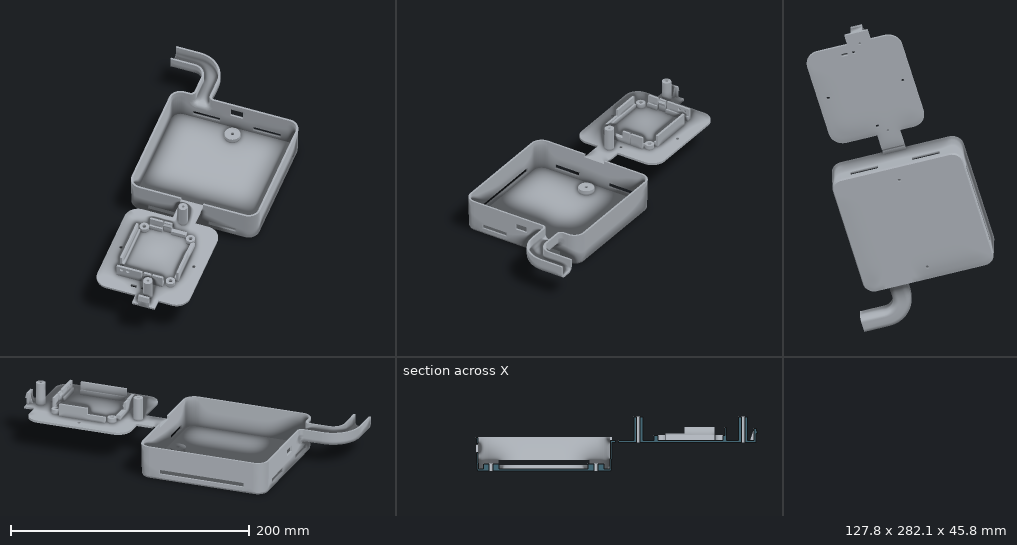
import cadquery as cq

box_size = 114.5
box_height = 28.5
box_radius = 10.2
box_lean = 0.5
wall = 1.7
floor = 2.0
foot_rise = 1.7
foot_inset = 0.8

boss_ys = (44.5, -43.5)
boss_radius = 6.8
boss_height = 4.2
screw_radius = 1.5

vent_length = 24.3
vent_height = 4.0
vent_z = 7.0
vent_spacing = 53.5
side_vent_length = 76.2
window_width = 11.3
window_bottom = 15.8
window_inner_top = 24.0
window_outer_top = 21.2

channel_width = 15.5
channel_depth = 11.9
channel_wall = 1.7
channel_round = 2.8
channel_x = -31.5
channel_end_x = -70.5
bend_radius = 17.8
bend_y = 77.3
mouth_fillet = 4.5
root_fillet = 3.5

lid_top = 26.0
lid_thickness = 2.0
lid_width = 82.7
lid_length = 92.0
lid_radius = 12.0
lid_x = -7.3
lid_y = -122.7
strap_width = 19.8
fold_y = -61.2
fold_width = 2.0
fold_thickness = 0.2
tab_width = 20.3
tab_end_y = -178.0

post_radius = 4.0
post_height = 19.8
post_hole_radius = 1.0

standoff_height = 4.2
standoff_hole_radius = 1.7
standoff_dx = 20.5
standoff_dy = 25.0

rail_height = 11.0
low_rail_height = 5.5
rail_thickness = 2.0
ledge_width = 1.7
side_rail_dx = 25.0
side_rail_length = 41.2
low_rail_length = 15.8
end_rail_dy = 29.5
hook_reach = 1.0
hook_slope_drop = 1.0
hook_tip_drop = 2.8
hook_bottom_drop = 5.5

front_rail_ends = ((-32.7, -10.5), (-1.0, 8.2))
front_hook_ends = (-8.7, -2.5)
back_rail_ends = (-24.3, -12.7)
back_hook_ends = (-11.5, -4.8)
back_ledge_ends = (-4.8, 8.2)
pin_hole_xs = (-28.5, -22.9)
pin_hole_radius = 1.5
pin_hole_drop = 3.5

lid_hole_dx = 32.5
lid_hole_radius = 1.5
slot_width = 2.5
slot_dy = 37.2
long_slot_x = -15.2
long_slot_length = 5.5

latch_width = 9.5
latch_height = 10.2
latch_thickness = 2.0
latch_reach = 1.27
latch_tip_z = 5.6
gusset_length = 2.8
gusset_height = 8.7
gusset_thickness = 1.0
gusset_spacing = 4.2

lid_bottom = lid_top - lid_thickness
back_wall_y = box_size / 2
front_wall_y = -box_size / 2


def block(x0, x1, y0, y1, z0, z1):
    """An axis-aligned block between the given limits."""
    size = (x1 - x0, y1 - y0, z1 - z0)
    return cq.Workplane("XY").box(*size, centered=False).translate((x0, y0, z0))


def cylinder(x, y, z, radius, height):
    """An upright cylinder standing on the point (x, y, z)."""
    return cq.Workplane("XY", origin=(x, y, z)).circle(radius).extrude(height)


def wall_inset(z):
    """How far the leaning outer wall stands in from the box rim at height z."""
    return box_lean * (1 - z / box_height)


def tray_block(z0, inset0, z1, inset1):
    """A rounded square block whose outline is inset from the box rim at both ends."""

    def outline(inset):
        side = box_size - 2 * inset
        return cq.Sketch().rect(side, side).vertices().fillet(box_radius - inset)

    top = outline(inset1).moved(cq.Location(cq.Vector(0, 0, z1 - z0)))
    return cq.Workplane("XY", origin=(0, 0, z0)).placeSketch(outline(inset0), top).loft()


def trough(width, depth, radius, start_y):
    """A U section hanging from the rim level, swept round the bend to the open end."""
    path = (
        cq.Workplane("XY")
        .moveTo(channel_x, start_y)
        .lineTo(channel_x, bend_y)
        .radiusArc((channel_x - bend_radius, bend_y + bend_radius), -bend_radius)
        .lineTo(channel_end_x, bend_y + bend_radius)
    )
    section = (
        cq.Sketch()
        .push([(0, box_height - depth / 2)])
        .rect(width, depth)
        .reset()
        .vertices("<Y")
        .fillet(radius)
    )
    return cq.Workplane("XZ", origin=(channel_x, start_y, 0)).placeSketch(section).sweep(path)


def channel_edges(y):
    """Selects the edges where the channel meets the back wall face at y."""
    reach = channel_width / 2 + 0.3
    half_depth = wall / 2
    return cq.selectors.BoxSelector(
        (channel_x - reach, y - half_depth, box_height - channel_depth - 0.3),
        (channel_x + reach, y + half_depth, box_height - 0.3),
    )


def make_window():
    """The latch window through the back wall, its ceiling sloping down to the outside."""
    inner_y = back_wall_y - box_lean - wall
    return (
        cq.Workplane("YZ", origin=(-window_width / 2, 0, 0))
        .moveTo(inner_y, window_bottom)
        .lineTo(back_wall_y, window_bottom)
        .lineTo(back_wall_y, window_outer_top)
        .lineTo(inner_y, window_inner_top)
        .close()
        .extrude(window_width)
    )


def make_box():
    """The tray with its cable channel, bosses, vents and latch window."""
    foot = tray_block(0, wall_inset(0) + foot_inset, foot_rise, wall_inset(foot_rise))
    body = tray_block(foot_rise, wall_inset(foot_rise), box_height, 0)
    cavity = tray_block(floor, wall_inset(floor) + wall, box_height, wall)

    box = foot.union(body)
    box = box.union(trough(channel_width, channel_depth, channel_round + channel_wall, 0))
    box = box.edges(channel_edges(back_wall_y - box_lean / 4)).fillet(root_fillet)
    bore_width = channel_width - 2 * channel_wall
    bore_depth = channel_depth - channel_wall
    box = box.cut(cavity).cut(trough(bore_width, bore_depth, channel_round, 0))
    box = box.edges(channel_edges(back_wall_y - wall - box_lean / 4)).fillet(mouth_fillet)

    for y in boss_ys:
        box = box.union(cylinder(0, y, 0, boss_radius, floor + boss_height))
        box = box.cut(cylinder(0, y, 0, screw_radius, floor + boss_height))

    vent = cq.Workplane("XY").box(vent_length, 2 * box_size, vent_height)
    for x in (-vent_spacing / 2, vent_spacing / 2):
        box = box.cut(vent.translate((x, 0, vent_z)))
    side_vent = cq.Workplane("XY").box(4 * wall, side_vent_length, vent_height)
    box = box.cut(side_vent.translate((box_size / 2 - wall, 0, vent_z)))
    box = box.cut(make_window())

    half = strap_width / 2
    inner_y = front_wall_y + 2 * wall
    return box.cut(block(-half, half, front_wall_y, inner_y, lid_top, box_height))


def make_lid_plate():
    """The lid plate with the strap to the box, the fold line and the latch tab."""
    plate = (
        cq.Workplane("XY", origin=(lid_x, lid_y, lid_bottom))
        .rect(lid_width, lid_length)
        .extrude(lid_thickness)
        .edges("|Z")
        .fillet(lid_radius)
    )
    half = strap_width / 2
    strap = block(-half, half, lid_y, front_wall_y + wall, lid_bottom, lid_top)
    tab = block(half - tab_width, half, tab_end_y, lid_y, lid_bottom, lid_top)
    fold_gap = block(
        -half,
        half,
        fold_y - fold_width / 2,
        fold_y + fold_width / 2,
        lid_bottom,
        lid_top - fold_thickness,
    )
    return plate.union(strap).union(tab).cut(fold_gap)


def rail(length, height):
    """A wall along X on the lid plate, with the board ledge on its +Y side."""
    ledge_y = rail_thickness / 2 + ledge_width
    half = length / 2
    upright = block(-half, half, -rail_thickness / 2, rail_thickness / 2, 0, height)
    return upright.union(block(-half, half, 0, ledge_y, 0, standoff_height))


def hook_rail(length):
    """A wall along X on the lid plate, with a retaining hook on its +Y side."""
    inner = rail_thickness / 2
    return (
        cq.Workplane("YZ", origin=(-length / 2, 0, 0))
        .moveTo(-inner, 0)
        .lineTo(inner, 0)
        .lineTo(inner, rail_height - hook_bottom_drop)
        .lineTo(inner + hook_reach, rail_height - hook_tip_drop)
        .lineTo(inner, rail_height - hook_slope_drop)
        .lineTo(inner, rail_height)
        .lineTo(-inner, rail_height)
        .close()
        .extrude(length)
    )


def turned(shape, angle):
    """The shape turned about the Z axis."""
    return shape.rotate((0, 0, 0), (0, 0, 1), angle)


def make_rails():
    """All the rails around the circuit board, joined later by the lid plate."""
    left_x = lid_x - side_rail_dx
    right_x = lid_x + side_rail_dx
    front_y = lid_y - end_rail_dy
    back_y = lid_y + end_rail_dy
    tall_length = side_rail_length - low_rail_length

    rails = [turned(rail(side_rail_length, rail_height), -90).translate((left_x, lid_y, lid_top))]
    tall_part = turned(rail(tall_length, rail_height), 90)
    rails.append(tall_part.translate((right_x, lid_y - low_rail_length / 2, lid_top)))
    low_part = turned(rail(low_rail_length, low_rail_height), 90)
    rails.append(low_part.translate((right_x, lid_y + tall_length / 2, lid_top)))

    def add_end_rail(make, ends, y, angle, *height):
        left, right = ends
        wall_piece = turned(make(right - left, *height), angle)
        rails.append(wall_piece.translate(((left + right) / 2, y, lid_top)))

    for ends in front_rail_ends:
        add_end_rail(rail, ends, front_y, 0, rail_height)
    add_end_rail(hook_rail, front_hook_ends, front_y, 0)
    add_end_rail(rail, back_rail_ends, back_y, 180, rail_height)
    add_end_rail(hook_rail, back_hook_ends, back_y, 180)
    add_end_rail(rail, back_ledge_ends, back_y, 180, standoff_height)
    return rails


def make_latch():
    """The latch hook at the end of the tab, with its two gussets."""
    latch = (
        cq.Workplane("YZ", origin=(-latch_width / 2, tab_end_y, lid_top))
        .lineTo(0, latch_tip_z)
        .lineTo(-latch_reach, latch_tip_z)
        .lineTo(0, latch_height)
        .lineTo(latch_thickness, latch_height)
        .lineTo(latch_thickness, 0)
        .close()
        .extrude(latch_width)
    )
    gusset = (
        cq.Workplane("YZ", origin=(-gusset_thickness / 2, tab_end_y + latch_thickness, lid_top))
        .lineTo(gusset_length, 0)
        .lineTo(0, gusset_height)
        .close()
        .extrude(gusset_thickness)
    )
    for x in (-gusset_spacing / 2, gusset_spacing / 2):
        latch = latch.union(gusset.translate((x, 0, 0)))
    return latch


def make_lid():
    """The lid plate with its rails, posts, standoffs, openings and latch."""
    lid = make_lid_plate()
    for piece in make_rails():
        lid = lid.union(piece)
    lid = lid.union(make_latch())

    for boss_y in boss_ys:
        y = 2 * fold_y - boss_y
        lid = lid.union(cylinder(0, y, lid_top, post_radius, post_height))
        lid = lid.cut(cylinder(0, y, lid_bottom, post_hole_radius, lid_thickness + post_height))

    for side_x, side_y in ((-1, 1), (1, 1), (1, -1)):
        x = lid_x + side_x * standoff_dx
        y = lid_y + side_y * standoff_dy
        lid = lid.union(cylinder(x, y, lid_top, post_radius, standoff_height))
        lid = lid.cut(cylinder(x, y, lid_top, standoff_hole_radius, standoff_height))

    for side in (-1, 1):
        x = lid_x + side * lid_hole_dx
        lid = lid.cut(cylinder(x, lid_y, lid_bottom, lid_hole_radius, lid_thickness))

    slots = (
        (lid_x, lid_y + slot_dy, slot_width),
        (lid_x, lid_y - slot_dy, slot_width),
        (long_slot_x, lid_y - slot_dy, long_slot_length),
    )
    for x, y, length in slots:
        slot = cq.Workplane("XY").box(length, slot_width, 2 * lid_thickness)
        lid = lid.cut(slot.translate((x, y, lid_top - lid_thickness / 2)))

    pin_z = lid_top + rail_height - pin_hole_drop
    pin_start_y = lid_y - end_rail_dy + rail_thickness
    for x in pin_hole_xs:
        pin_hole = cq.Workplane("XZ", origin=(x, pin_start_y, pin_z)).circle(pin_hole_radius)
        lid = lid.cut(pin_hole.extrude(2 * rail_thickness))
    return lid


result = make_box().union(make_lid())